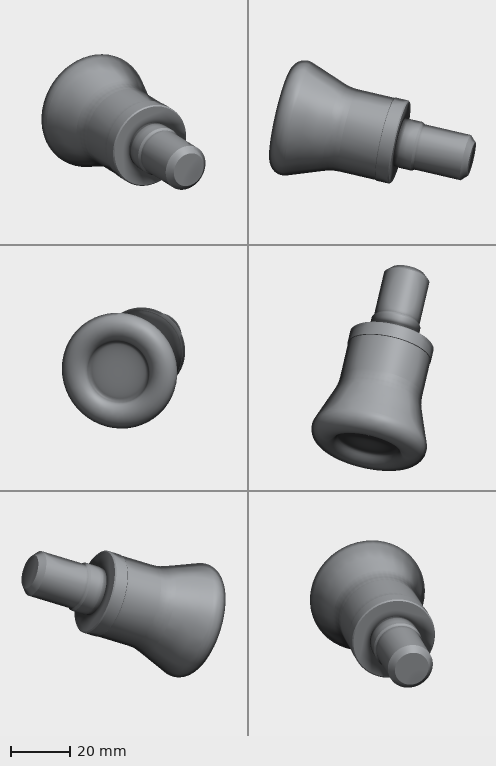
import cadquery as cq
import math


grip_radius = 28.6 / 2
grip_end_x = 36.75
rim_radius = 39.9 / 2
rim_round = 4.8
flare_angle = math.radians(20)
blend_end_x = 23.85
dish_edge_radius = 10.7
dish_floor_radius = 9.4

collar_radius = 29.0 / 2
collar_start_x = 36.95
collar_end_x = 41.7
collar_chamfer = 0.4
spigot_radius = 13.9
undercut_radius = 16.65 / 2
undercut_end_x = 42.3
shoulder_radius = 17.0 / 2
shoulder_start_x = 43.2
shoulder_end_x = 47.8
shaft_radius = 15.8 / 2
shaft_start_x = 48.7
shaft_end_x = 66.8
shaft_chamfer = 2


def arc_point(center, radius, angle):
    """Point on a circle, with the angle measured from the +X direction."""
    return (center[0] + radius * math.cos(angle), center[1] + radius * math.sin(angle))


def revolve_about_x(profile):
    return profile.close().revolve(360, (0, 0, 0), (1, 0, 0))


def make_knob():
    rim_center = (rim_round, rim_radius - rim_round)
    flare_normal = math.pi / 2 - flare_angle
    dish_angle = math.pi + math.asin((rim_center[1] - dish_edge_radius) / rim_round)
    dish_edge = arc_point(rim_center, rim_round, dish_angle)
    rim_end = arc_point(rim_center, rim_round, flare_normal)
    rim_mid = arc_point(rim_center, rim_round, (dish_angle + flare_normal) / 2)

    dish_fillet = (dish_edge_radius - dish_floor_radius) / math.sin(dish_angle - math.pi)
    dish_floor_x = dish_edge[0] + dish_fillet * (1 + math.cos(dish_angle))
    fillet_center = (dish_floor_x - dish_fillet, dish_floor_radius)
    fillet_mid = arc_point(fillet_center, dish_fillet, (dish_angle - math.pi) / 2)

    flare_rise = rim_end[1] - grip_radius
    flare_length = blend_end_x - rim_end[0]
    tangent_length = flare_length - flare_rise / math.tan(flare_angle)
    blend_radius = tangent_length / math.tan(flare_angle / 2)
    blend_center = (blend_end_x, grip_radius + blend_radius)
    blend_start = arc_point(blend_center, blend_radius, -math.pi / 2 - flare_angle)
    blend_mid = arc_point(blend_center, blend_radius, -math.pi / 2 - flare_angle / 2)

    profile = (
        cq.Workplane("XY")
        .moveTo(dish_floor_x, 0)
        .lineTo(dish_floor_x, dish_floor_radius)
        .threePointArc(fillet_mid, dish_edge)
        .threePointArc(rim_mid, rim_end)
        .lineTo(*blend_start)
        .threePointArc(blend_mid, (blend_end_x, grip_radius))
        .lineTo(grip_end_x, grip_radius)
        .lineTo(grip_end_x, 0)
    )
    return revolve_about_x(profile)


def make_stem():
    profile = cq.Workplane("XY").polyline([
        (grip_end_x, 0),
        (grip_end_x, spigot_radius),
        (collar_start_x, spigot_radius),
        (collar_start_x, collar_radius),
        (collar_end_x - collar_chamfer, collar_radius),
        (collar_end_x, collar_radius - collar_chamfer),
        (collar_end_x, undercut_radius),
        (undercut_end_x, undercut_radius),
        (shoulder_start_x, shoulder_radius),
        (shoulder_end_x, shoulder_radius),
        (shaft_start_x, shaft_radius),
        (shaft_end_x - shaft_chamfer, shaft_radius),
        (shaft_end_x, shaft_radius - shaft_chamfer),
        (shaft_end_x, 0),
    ])
    return revolve_about_x(profile)


knob = make_knob()
stem = make_stem()

result = cq.Compound.makeCompound([knob.val(), stem.val()])